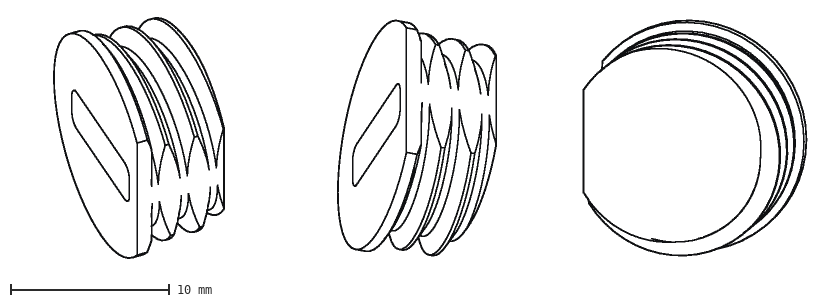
import cadquery as cq
import math

total_length = 6.0
head_diameter = 14.67
head_radius = head_diameter / 2
overall_width = 13.04
flat_x = overall_width - head_radius

flank_angle = math.radians(30)

head_thickness = 1.0
head_bevel_depth = 0.5
head_bevel_length = head_bevel_depth * math.tan(flank_angle)

pitch = 2.0
sharp_height = pitch * math.sqrt(3) / 2
thread_depth = sharp_height * 5 / 8
crest_flat = pitch / 8
ridge_base = pitch * 3 / 4
crest_radius = head_radius - head_bevel_depth
root_radius = crest_radius - thread_depth
crest_position = 1.75
root_overlap = 0.1

slot_width = 9.0
slot_height = 3.0
slot_corner_radius = 0.8
slot_depth = 4.0

screw_plane = cq.Plane(origin=(0, 0, 0), xDir=(0, 0, 1), normal=(0, 1, 0))


def make_head():
    """Bevelled disc, revolved about the screw axis."""
    bevel_start = head_thickness - head_bevel_length
    profile = [
        (0, 0),
        (head_radius, 0),
        (head_radius, bevel_start),
        (crest_radius, head_thickness),
        (0, head_thickness),
    ]
    section = cq.Workplane(cq.Plane(origin=(0, 0, 0), xDir=(0, 0, 1), normal=(-1, 0, 0)))
    return section.polyline(profile).close().revolve(360, (0, 0), (0, 1))


def make_thread_ridge():
    """Helical ridge, swept along Z, trimmed to the shank and turned onto the screw axis."""
    start = crest_position - pitch
    turns = math.ceil((total_length - start) / pitch)
    path = cq.Wire.makeHelix(pitch, turns * pitch, crest_radius)
    inner_radius = root_radius - root_overlap
    inner_half_width = ridge_base / 2 + root_overlap * math.tan(flank_angle)
    ridge_section = [
        (inner_radius, -inner_half_width),
        (crest_radius, -crest_flat / 2),
        (crest_radius, crest_flat / 2),
        (inner_radius, inner_half_width),
    ]
    ridge = cq.Workplane("XZ").polyline(ridge_section).close().sweep(path, isFrenet=True)
    ridge = ridge.translate((0, 0, start))
    shank_length = total_length - head_thickness
    shank_space = cq.Workplane("XY", origin=(0, 0, head_thickness)).circle(head_radius).extrude(shank_length)
    return cq.Workplane(ridge.intersect(shank_space).val().moved(cq.Location(screw_plane)))


def make_core():
    """Plain cylinder at the thread root."""
    return cq.Workplane(screw_plane).circle(root_radius).extrude(total_length)


def make_side_cutter():
    """Block that removes everything beyond the flat on the +X side."""
    block = cq.Workplane("XY").box(head_radius, total_length, head_diameter, centered=(False, False, True))
    return block.translate((flat_x, 0, 0))


def make_slot():
    """Blind slot with rounded corners."""
    slot = cq.Workplane("XY").box(slot_width, slot_depth, slot_height, centered=(True, False, True))
    return slot.edges("|Y").fillet(slot_corner_radius)


screw = make_core().union(make_thread_ridge()).union(make_head())
result = screw.cut(make_side_cutter()).cut(make_slot())